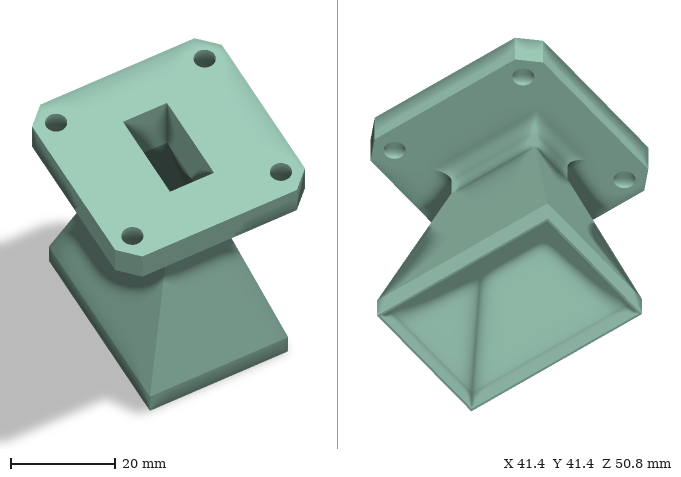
import cadquery as cq

height = 50.8
flange_side = 41.4
flange_thickness = 6.45
corner_chamfer = 3.85
mouth_x, mouth_y = 40.95, 30.2
mouth_height = 4.5
neck_x, neck_y = 19.95, 10.5
neck_height = 6.25
fillet_radius = 2.6
wall = 0.45

hole_diameter = 4.25
hole_spacing_x, hole_spacing_y = 30.9, 32.4

flange_bottom = height - flange_thickness
neck_bottom = flange_bottom - neck_height


def horn_solid(inset, top):
    """Mouth, flare and neck, with every side moved inward by inset."""
    mouth_size = (mouth_x - 2 * inset, mouth_y - 2 * inset)
    neck_size = (neck_x - 2 * inset, neck_y - 2 * inset)
    mouth = cq.Workplane("XY").rect(*mouth_size).extrude(mouth_height)
    flare = (
        cq.Workplane("XY", origin=(0, 0, mouth_height))
        .rect(*mouth_size)
        .workplane(offset=neck_bottom - mouth_height)
        .rect(*neck_size)
        .loft(ruled=True)
    )
    neck = (
        cq.Workplane("XY", origin=(0, 0, neck_bottom))
        .rect(*neck_size)
        .extrude(top - neck_bottom)
    )
    return mouth.union(flare).union(neck)


flange = (
    cq.Workplane("XY", origin=(0, 0, flange_bottom))
    .rect(flange_side, flange_side)
    .extrude(flange_thickness)
    .edges("|Z")
    .chamfer(corner_chamfer)
)

body = flange.union(horn_solid(0, flange_bottom))
neck_root = cq.selectors.BoxSelector(
    (-neck_x, -neck_y, flange_bottom - wall),
    (neck_x, neck_y, flange_bottom + wall),
)
body = body.edges(neck_root).fillet(fillet_radius)

body = body.cut(horn_solid(wall, height))

holes = (
    cq.Workplane("XY", origin=(0, 0, flange_bottom))
    .rect(hole_spacing_x, hole_spacing_y, forConstruction=True)
    .vertices()
    .circle(hole_diameter / 2)
    .extrude(flange_thickness)
)
result = body.cut(holes)